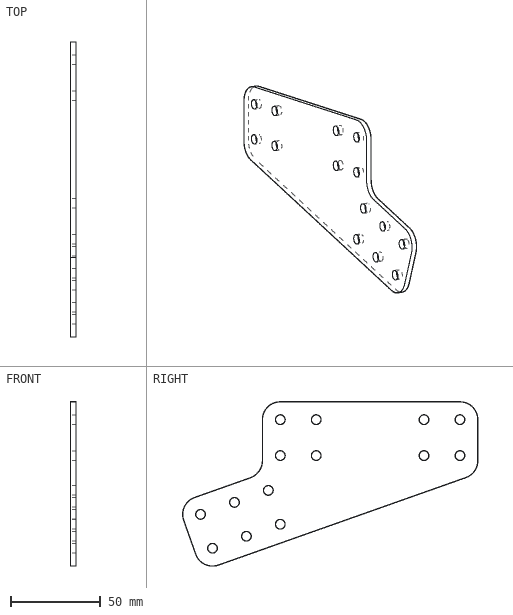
import cadquery as cq
import math

thickness = 3.1
total_length = 164.4
total_height = 91.5
panel_length = 120.0
hole_diameter = 5.3
arm_angle = math.asin(1 / 3)

pitch = panel_length / 6
corner_radius = pitch / 2

along_u = math.cos(arm_angle)
along_v = -math.sin(arm_angle)
across_u = math.sin(arm_angle)
across_v = math.cos(arm_angle)

upper_end_u = total_length - corner_radius
lower_end_u = upper_end_u - pitch * across_u
lower_end_v = corner_radius - total_height


def arm_point(along, across):
    """Point measured from the lower end hole, along and across the arm."""
    return (
        lower_end_u + along * along_u + across * across_u,
        lower_end_v + along * along_v + across * across_v,
    )


def edge_at(u, across):
    """Point at the given u on the arm edge at the given offset across the arm."""
    along = (u - lower_end_u - across * across_u) / along_u
    return arm_point(along, across)


def to_plate(point):
    """Centre a plate point on the YZ plane."""
    u, v = point
    return (total_length / 2 - u, v + total_height / 2)


lower_offset = -corner_radius
upper_offset = pitch + corner_radius
outline = [
    (0, 0),
    (panel_length, 0),
    edge_at(panel_length, upper_offset),
    arm_point(corner_radius, upper_offset),
    arm_point(corner_radius, lower_offset),
    edge_at(0, lower_offset),
]
plate = (
    cq.Workplane("YZ", origin=(-thickness / 2, 0, 0))
    .polyline([to_plate(point) for point in outline])
    .close()
    .extrude(thickness)
    .edges("|X")
    .fillet(corner_radius)
)

panel_columns = [
    corner_radius,
    corner_radius + pitch,
    panel_length - corner_radius - pitch,
    panel_length - corner_radius,
]
panel_rows = [-corner_radius, -corner_radius - pitch]
panel_holes = [(u, v) for u in panel_columns for v in panel_rows]

arm_holes = [arm_point(-column * pitch, row * pitch) for column in range(3) for row in range(2)]

hole_cutters = (
    cq.Workplane("YZ", origin=(-thickness / 2, 0, 0))
    .pushPoints([to_plate(point) for point in panel_holes + arm_holes])
    .circle(hole_diameter / 2)
    .extrude(thickness)
)

result = plate.cut(hole_cutters)